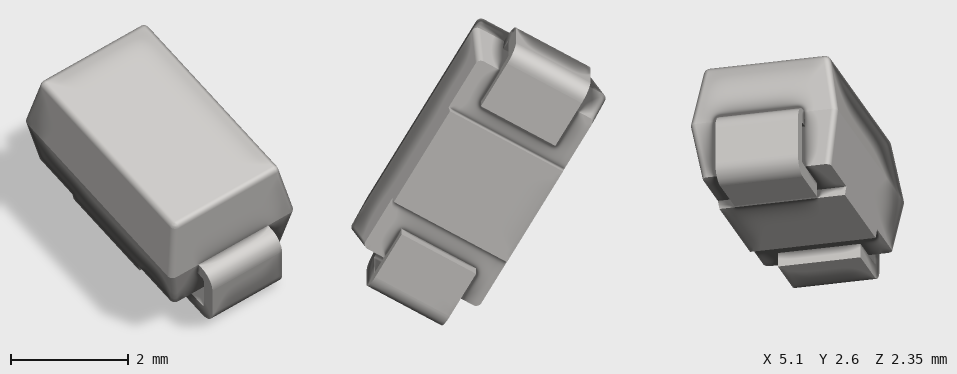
import cadquery as cq

body_length = 4.295
body_width = 2.6
parting_height = 1.245
top_height = 2.35
draft_angle = 10.0
edge_radius = 0.1

pad_length = 1.92
pad_height = 0.155
step_height = 0.305

lead_span = 5.1
lead_width = 1.46
lead_thickness = 0.25
lead_foot_length = 1.2
lead_outer_radius = 0.295
lead_inner_radius = 0.05
lead_embedded_length = 0.205


def body_half(height):
    """Drafted half that narrows away from the parting plane; negative height goes down."""
    return (
        cq.Workplane("XY", origin=(0, 0, parting_height))
        .rect(body_length, body_width)
        .extrude(height, taper=draft_angle)
        .edges("not #Z")
        .fillet(edge_radius)
    )


def end_step(side):
    """Cutter that lifts the underside from the pad to one end of the body."""
    step_length = (body_length - pad_length) / 2
    return cq.Workplane("XY").box(
        step_length, body_width, step_height, centered=(True, True, False)
    ).translate((side * (pad_length + step_length) / 2, 0, 0))


def left_lead():
    """C-shaped strip that leaves the body below the parting plane and folds under it."""
    outer_x = -lead_span / 2
    inner_x = outer_x + lead_thickness
    foot_end_x = outer_x + lead_foot_length
    embedded_x = -body_length / 2 + lead_embedded_length
    strip = (
        cq.Workplane("XZ")
        .moveTo(foot_end_x, 0)
        .lineTo(outer_x, 0)
        .lineTo(outer_x, parting_height)
        .lineTo(embedded_x, parting_height)
        .lineTo(embedded_x, parting_height - lead_thickness)
        .lineTo(inner_x, parting_height - lead_thickness)
        .lineTo(inner_x, lead_thickness)
        .lineTo(foot_end_x, lead_thickness)
        .close()
        .extrude(lead_width / 2, both=True)
    )
    outer_bends = strip.edges("|Y and <X")
    strip = outer_bends.fillet(lead_outer_radius)
    inner_bends = cq.selectors.BoxSelector(
        (inner_x - lead_inner_radius, -lead_width, 0),
        (inner_x + lead_inner_radius, lead_width, parting_height),
    )
    return strip.edges("|Y").edges(inner_bends).fillet(lead_inner_radius)


upper_half = body_half(top_height - parting_height).faces(">Z").edges().fillet(edge_radius)
lower_half = body_half(pad_height - parting_height)
for side in (-1, 1):
    lower_half = lower_half.cut(end_step(side))

lead = left_lead()
result = upper_half.union(lower_half).union(lead).union(lead.mirror("YZ"))